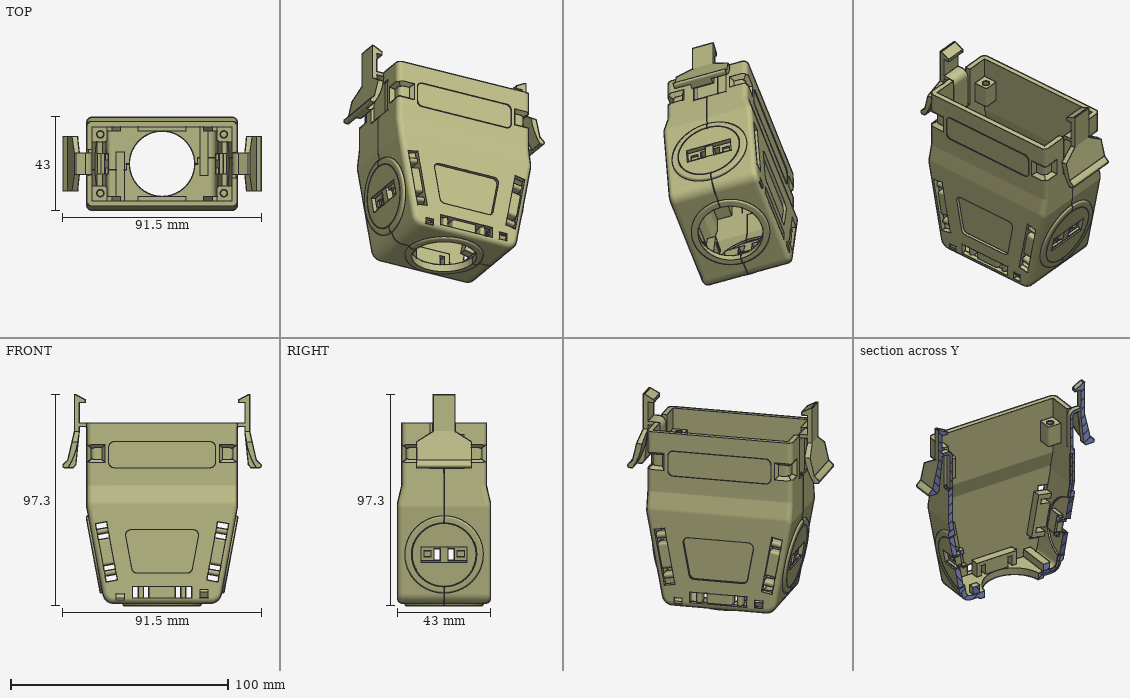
import cadquery as cq
import math


rim_half_width = 34.75
rim_half_depth = 19.55
body_half_depth = 21.5
body_bottom = -83.2
wall = 2.5
corner_radius = 2.5
shoulder_top = -28.9
shoulder_bottom = -37.0
shoulder_top_blend = 2.5
shoulder_bottom_blend = 5.0
taper_top = -38.7
taper_angle = 10.5
foot_radius = 5.2
taper_tan = math.tan(math.radians(taper_angle))
taper_cos = math.cos(math.radians(taper_angle))
floor_top = body_bottom + wall
cavity_half_depth = body_half_depth - wall
overshoot = 5.0
joint_overlap = 0.4
surface_tolerance = 0.01

bore_diameter = 30.0
ring_diameter = 36.2
ring_height = 1.1
ring_edge_radius = 0.9
side_bore_z = -60.6

vent_length = 27.2
vent_height = 5.15
vent_edge_distance = 2.6
side_vent_z = -60.35
slat_front = 20.0
slat_back = 15.0
slat_edge_radius = 1.2
bar_center = 9.75
bar_width = 2.5
panel_width = 12.3
cap_height = 2.0

label_length = 49.2
label_height = 12.05
label_z = -14.65
label_depth = 0.4
field_top = -49.2
field_bottom = -69.2
field_top_half_width = 17.3
field_depth = 1.5
field_radius = 2.5

grip_top = -10.0
grip_height = 8.3
grip_reach = 8.4
grip_depth = 2.0
grip_slope = 1.4
grip_core_radius = 2.0
post_size = 6.9
post_height = 10.4
post_edge_radius = 1.0
screw_x = 28.45
screw_y = 13.55
screw_diameter = 3.0
screw_mouth_diameter = 3.4
screw_mouth_depth = 0.3
screw_depth = 8.0

latch_half_width = 5.05
latch_inner_x = 38.1
latch_outer_x = 40.4
latch_top = 13.0
hook_tip_x = 35.3
hook_tip_top = 10.7
hook_bottom = 9.3
hook_flat = 0.7
strip_thickness = 1.7
bend_radius = 3.4
lever_start = -3.85
lever_full = -8.7
lever_half_width = 12.6
lever_bottom = -20.7
lever_tip_x = 45.75
lever_tip_radius = 1.0
lever_neck_x = 43.5
lever_neck_z = -17.2
lever_tip_slope = 36.0
lever_foot_x = 43.4
wing_mid_x = 40.2
wing_mid_z = -14.2
wing_top_x = 38.7
wing_top_z = -7.4
rib_knee_x = 39.7
rib_knee_z = -19.2
rib_foot_x = 41.0
tab_bottom = -20.0
slit = 0.2
notch_edge = 6.5
relief_edge = 9.27
relief_top = -5.4
relief_bottom = -21.0

joint_gap = 0.2
lip_thickness = 1.25
lip_height = 2.75
lip_inner_x = 16.4
lip_top = -23.0
arm_inner_x = 17.4
arm_outer_x = 21.2
arm_top = -76.8
arm_reach = 5.4
arm_pocket_depth = 2.1
snap_lip = 0.6
arm_pocket_top = -78.8
arm_pocket_knee = -80.6
arm_pocket_bottom = -81.7
catch_top_depth = 1.5
catch_depth = 2.3
catch_ridge = -77.9
catch_bottom = -80.5

plug_diameter = 29.5
disc_thickness = 2.8
window_length = 21.3
window_height = 7.3
web_recess = 0.8
pocket_depth = 2.1
pocket_height = 6.7
web_half_width = 1.85
slot_outer = 4.6
slot_height = 6.05
socket_center = 7.65
socket_length = 3.3
socket_height = 2.9
socket_depth = 1.0
well_wall = 1.3
well_height = 2.4
stop_length = 9.5
stop_height = 1.1
stop_notch = 1.7


def box(x0, x1, y0, y1, z0, z1):
    return cq.Workplane("XY").box(x1 - x0, y1 - y0, z1 - z0, centered=False).translate((x0, y0, z0))


def width_prism(inset, top):
    """Front outline of the shell, moved in by inset and extruded through the whole depth."""
    half_width = rim_half_width - inset
    knee = taper_top + inset * math.tan(math.radians(taper_angle / 2))
    bottom = body_bottom + inset
    foot = half_width - (knee - bottom) * taper_tan
    right_side = [(half_width, top), (half_width, knee), (foot, bottom)]
    left_side = [(-x, z) for x, z in reversed(right_side)]
    prism = cq.Workplane("XZ").polyline(right_side + left_side).close().extrude(body_half_depth, both=True)
    return prism.faces("<Z").edges("|Y").fillet(foot_radius - inset)


def depth_prism(inset, top):
    """Side outline of the shell, moved in by inset and extruded through the whole width."""
    rim_depth = rim_half_depth - inset
    body_depth = body_half_depth - inset
    back = [
        (rim_depth, top),
        (rim_depth, shoulder_top),
        (body_depth, shoulder_bottom),
        (body_depth, body_bottom),
    ]
    front = [(-y, z) for y, z in reversed(back)]
    return cq.Workplane("YZ").polyline(back + front).close().extrude(rim_half_width, both=True)


def edges_at(body, height):
    return body.edges("|X").filter(lambda edge: abs(edge.Center().z - height) < surface_tolerance)


def is_outline_edge(edge):
    center = edge.Center()
    on_rim = center.z > -surface_tolerance
    across_depth = abs(center.y) < surface_tolerance
    across_width = abs(center.x) < surface_tolerance and center.z > body_bottom + surface_tolerance
    return not (on_rim or across_depth or across_width)


def shell_blank():
    sides = depth_prism(0, 0)
    sides = edges_at(sides, shoulder_top).fillet(shoulder_top_blend)
    sides = edges_at(sides, shoulder_bottom).fillet(shoulder_bottom_blend)
    blank = width_prism(0, 0).intersect(sides)
    return blank.edges().filter(is_outline_edge).fillet(corner_radius)


def cavity():
    return width_prism(wall, overshoot).intersect(depth_prism(wall, overshoot))


def side_frame(side):
    """Plane on a tapered side face: local X along Y, local Y up, local Z outward."""
    x = rim_half_width - (taper_top - side_bore_z) * taper_tan
    normal = (side * taper_cos, 0, -math.sin(math.radians(taper_angle)))
    return cq.Plane(origin=(side * x, 0, side_bore_z), xDir=(0, side, 0), normal=normal)


floor_frame = cq.Plane(origin=(0, 0, body_bottom), xDir=(1, 0, 0), normal=(0, 0, -1))
opening_frames = [floor_frame, side_frame(-1), side_frame(1)]


def raised_ring(frame):
    ring = cq.Workplane(frame).workplane(offset=-wall / 2).circle(ring_diameter / 2)
    ring = ring.extrude(ring_height + wall / 2)
    return ring.edges(cq.selectors.DirectionMinMaxSelector(frame.zDir)).fillet(ring_edge_radius)


def bore(frame):
    return cq.Workplane(frame).workplane(offset=-overshoot).circle(bore_diameter / 2).extrude(2 * overshoot)


vent_bottom = body_bottom + vent_edge_distance
vent_top = vent_bottom + vent_height


def vent_opening():
    half = vent_length / 2
    return box(-half, half, cavity_half_depth, body_half_depth + overshoot, vent_bottom, vent_top)


def slat(center, width):
    left = center - width / 2
    bar = box(left, left + width, slat_back, slat_front, floor_top - joint_overlap, vent_top + cap_height)
    return bar.faces(">Y").edges("|Z").fillet(slat_edge_radius)


def vent_grille():
    reach = bar_center + bar_width / 2
    grille = box(-reach, reach, slat_back, cavity_half_depth + joint_overlap, vent_top, vent_top + cap_height)
    grille = grille.union(slat(0, panel_width))
    for side in (-1, 1):
        grille = grille.union(slat(side * bar_center, bar_width))
    return grille


def at_all_vents(shape):
    """Copies of a floor vent shape at the floor and both sides, front and back."""
    side_x = rim_half_width - (taper_top - side_vent_z) * taper_tan
    copies = [shape]
    for side in (-1, 1):
        upright = shape.translate((0, 0, -body_bottom))
        turned = upright.rotate((0, 0, 0), (0, 1, 0), -side * (90 - taper_angle))
        copies.append(turned.translate((side * side_x, 0, side_vent_z)))
    return copies + [copy.mirror("XZ") for copy in copies]


def label_field():
    field = cq.Workplane("XZ").center(0, label_z).rect(label_length, label_height).extrude(label_depth)
    field = field.edges("|Y").fillet(field_radius)
    return field.translate((0, label_depth - rim_half_depth, 0))


def tapered_field():
    bottom_half_width = field_top_half_width - (field_top - field_bottom) * taper_tan
    right_side = [(field_top_half_width, field_top), (bottom_half_width, field_bottom)]
    left_side = [(-x, z) for x, z in reversed(right_side)]
    field = cq.Workplane("XZ").polyline(right_side + left_side).close().extrude(field_depth)
    field = field.edges("|Y").fillet(field_radius)
    return field.translate((0, field_depth - body_half_depth, 0))


def slope_pocket(face_plane, face_distance, corner_distance):
    """Pocket with sloped walls on a face, running out past the shell corner."""
    length = grip_reach + overshoot
    mouth_center = corner_distance - grip_reach + length / 2
    grip_z = grip_top - grip_height / 2
    return (
        cq.Workplane(face_plane)
        .workplane(offset=face_distance)
        .center(mouth_center, grip_z)
        .rect(length, grip_height)
        .workplane(offset=-grip_depth)
        .rect(length - 2 * grip_slope, grip_height - 2 * grip_slope)
        .loft()
    )


def corner_grip():
    """Finger recess around the corner at +X, +Y."""
    back_face = cq.Plane(origin=(0, 0, 0), xDir=(1, 0, 0), normal=(0, -1, 0))
    side_face = cq.Plane(origin=(0, 0, 0), xDir=(0, 1, 0), normal=(1, 0, 0))
    front_pocket = slope_pocket(back_face, rim_half_depth, rim_half_width).mirror("XZ")
    grip = front_pocket.union(slope_pocket(side_face, rim_half_width, rim_half_depth))
    core_corner = (rim_half_width - grip_depth, rim_half_depth - grip_depth, grip_top - grip_height / 2)
    return grip.edges(cq.selectors.NearestToPointSelector(core_corner)).fillet(grip_core_radius)


def at_corners(shape):
    front_and_back = [shape, shape.mirror("XZ")]
    return front_and_back + [copy.mirror("YZ") for copy in front_and_back]


def screw_post():
    x = rim_half_width - wall
    y = rim_half_depth - wall
    base = grip_top - post_height
    post = box(x - post_size, x + joint_overlap, y - post_size, y + joint_overlap, base, grip_top)
    post = post.edges("|Z").edges("<(1,1,0)").fillet(post_edge_radius)
    top = cq.Workplane("XY", origin=(screw_x, screw_y, grip_top))
    hole = top.circle(screw_diameter / 2).extrude(-screw_depth)
    mouth = top.circle(screw_mouth_diameter / 2).extrude(-screw_mouth_depth)
    return post.cut(hole).cut(mouth)


def latch_relief():
    """Material taken from the left wall around the latch tab."""
    outer = -rim_half_width - overshoot
    inner = -rim_half_width + wall + joint_overlap
    tab_face = -rim_half_width + wall - strip_thickness
    recess = box(outer, tab_face, -latch_half_width - slit, notch_edge, relief_bottom, overshoot)
    recess = recess.union(box(outer, tab_face, -relief_edge, notch_edge, relief_bottom, relief_top))
    tight_slit = box(outer, inner, -latch_half_width - slit, -latch_half_width, tab_bottom, overshoot)
    wide_slit = box(outer, inner, latch_half_width, notch_edge, tab_bottom, overshoot)
    bend_room = box(outer, inner, -latch_half_width - slit, notch_edge, -bend_radius, overshoot)
    return recess.union(tight_slit).union(wide_slit).union(bend_room)


def latch():
    """Left latch: hooked strip with a finger lever, held by a bent tab."""
    tab_x = -rim_half_width + wall
    bend_x = tab_x - bend_radius
    inner_bend = bend_radius - strip_thickness
    diagonal = math.sqrt(0.5)
    tab = (
        cq.Workplane("XZ")
        .moveTo(-latch_inner_x - strip_thickness / 2, 0)
        .lineTo(bend_x, 0)
        .threePointArc((bend_x + bend_radius * diagonal, bend_radius * (diagonal - 1)), (tab_x, -bend_radius))
        .lineTo(tab_x - strip_thickness, -bend_radius)
        .threePointArc(
            (bend_x + inner_bend * diagonal, inner_bend * diagonal - bend_radius), (bend_x, -strip_thickness)
        )
        .lineTo(-latch_inner_x - strip_thickness / 2, -strip_thickness)
        .close()
        .extrude(latch_half_width, both=True)
    )
    strip = (
        cq.Workplane("XZ")
        .moveTo(-latch_outer_x, latch_top)
        .lineTo(-latch_outer_x + hook_flat, latch_top)
        .lineTo(-hook_tip_x, hook_tip_top)
        .lineTo(-hook_tip_x, hook_bottom)
        .lineTo(-latch_inner_x, hook_bottom)
        .lineTo(-latch_inner_x, lever_start)
        .lineTo(-rib_knee_x, rib_knee_z)
        .lineTo(-rib_foot_x, lever_bottom)
        .lineTo(-lever_foot_x - joint_overlap, lever_bottom)
        .lineTo(-latch_outer_x, lever_start)
        .close()
        .extrude(latch_half_width, both=True)
    )
    slope = math.radians(lever_tip_slope)
    tip_x = lever_tip_radius - lever_tip_x
    tip_z = lever_bottom + lever_tip_radius
    lever = (
        cq.Workplane("XZ")
        .moveTo(-latch_outer_x, lever_start)
        .lineTo(-lever_neck_x, lever_neck_z)
        .lineTo(tip_x - lever_tip_radius * math.sin(slope), tip_z + lever_tip_radius * math.cos(slope))
        .threePointArc((-lever_tip_x, tip_z), (tip_x, lever_bottom))
        .lineTo(-lever_foot_x, lever_bottom)
        .threePointArc((-wing_mid_x, wing_mid_z), (-wing_top_x, wing_top_z))
        .lineTo(-latch_inner_x, lever_start)
        .close()
        .extrude(lever_half_width, both=True)
    )
    half_outline = [
        (latch_half_width, lever_start),
        (lever_half_width, lever_full),
        (lever_half_width, lever_bottom),
    ]
    mirrored = [(-y, z) for y, z in reversed(half_outline)]
    lever_shape = cq.Workplane("YZ").polyline(half_outline + mirrored).close().extrude(-2 * rim_half_width)
    return strip.union(lever.intersect(lever_shape)).union(tab)


def snap_arm():
    """Arm of the front half on the left of the floor, reaching over the back half."""
    return box(-arm_outer_x, -arm_inner_x, -cavity_half_depth - joint_overlap, arm_reach, floor_top, arm_top)


def snap_pocket(x0, x1, profile):
    """Pocket in the front face; the profile gives depths below the face against Z."""
    points = [(depth - body_half_depth, z) for depth, z in profile]
    return cq.Workplane("YZ").polyline(points).close().extrude(x1 - x0).translate((x0, 0, 0))


def snap_pockets():
    arm_pocket = [
        (-overshoot, arm_pocket_top),
        (arm_pocket_depth, arm_pocket_top),
        (snap_lip, arm_pocket_knee),
        (snap_lip, arm_pocket_bottom),
        (-overshoot, arm_pocket_bottom),
    ]
    catch_pocket = [
        (-overshoot, arm_top),
        (catch_top_depth, arm_top),
        (snap_lip, catch_ridge),
        (catch_depth, catch_bottom),
        (-overshoot, catch_bottom),
    ]
    left = snap_pocket(-arm_outer_x, -arm_inner_x, arm_pocket)
    return left.union(snap_pocket(arm_inner_x, arm_outer_x, catch_pocket))


def lip_zone(y0, y1):
    """Inner part of the walls on the right, between two depths."""
    inner_wall = width_prism(lip_thickness, 0)
    return inner_wall.intersect(box(lip_inner_x, rim_half_width, y0, y1, body_bottom, lip_top))


def front_region():
    """Space of the front half shell: lap joint and latch tab reach past the parting plane."""
    gap = joint_gap / 2
    far = rim_half_width + overshoot
    tab_inner = rim_half_width - wall - overshoot
    region = box(-far, far, -body_half_depth - overshoot, -gap, body_bottom - overshoot, overshoot)
    region = region.union(lip_zone(-lip_height, lip_height - gap))
    region = region.cut(lip_zone(-gap, lip_height + gap).rotate((0, 0, 0), (0, 0, 1), 180))
    region = region.union(box(-far, -tab_inner, -notch_edge, latch_half_width, tab_bottom, overshoot))
    return region.cut(box(tab_inner, far, -latch_half_width, notch_edge, tab_bottom - joint_gap, overshoot))


def whole_shell():
    shell = shell_blank()
    for frame in opening_frames:
        shell = shell.union(raised_ring(frame))
    shell = shell.cut(cavity())
    for opening in at_all_vents(vent_opening()):
        shell = shell.cut(opening)
    for grille in at_all_vents(vent_grille()):
        shell = shell.union(grille)
    for frame in opening_frames:
        shell = shell.cut(bore(frame))
    for post in at_corners(screw_post()):
        shell = shell.union(post)
    for grip in at_corners(corner_grip()):
        shell = shell.cut(grip)
    relief = latch_relief()
    return shell.cut(relief).cut(relief.rotate((0, 0, 0), (0, 0, 1), 180))


def half_shell():
    half = whole_shell().intersect(front_region())
    half = half.cut(label_field()).cut(tapered_field()).cut(snap_pockets())
    return half.union(snap_arm()).union(latch())


def side_plug(side):
    """Round plug with a sunk window: a web in its middle, a slotted pocket on each side of the web."""
    face = cq.Workplane(side_frame(side)).workplane(offset=ring_height)
    disc_back = face.workplane(offset=-disc_thickness)
    well_back = disc_back.workplane(offset=-well_height)
    pocket_floor = face.workplane(offset=-pocket_depth)
    well_width = window_height + 2 * well_wall

    plug = face.circle(plug_diameter / 2).extrude(-disc_thickness)
    plug = plug.union(disc_back.rect(window_length + 2 * well_wall, well_width).extrude(-well_height))
    plug = plug.union(well_back.rect(stop_length, well_width).extrude(-stop_height))
    plug = plug.cut(face.rect(window_length, window_height).extrude(-web_recess))
    for edge in (-1, 1):
        notch = disc_back.center(0, edge * (well_width - well_wall) / 2)
        plug = plug.cut(notch.rect(stop_length, well_wall).extrude(-stop_notch))

    window_end = window_length / 2
    pocket_length = window_end - web_half_width
    slot_length = slot_outer - web_half_width
    pocket_center = (window_end + web_half_width) / 2
    slot_center = (slot_outer + web_half_width) / 2
    pocket_rise = (window_height - pocket_height) / 2
    slot_drop = (window_height - slot_height) / 2
    for end in (-1, 1):
        pocket = face.center(end * pocket_center, pocket_rise)
        plug = plug.cut(pocket.rect(pocket_length, pocket_height).extrude(-pocket_depth))
        slot = pocket_floor.center(end * slot_center, -slot_drop)
        plug = plug.cut(slot.rect(slot_length, slot_height).extrude(-2 * overshoot))
        socket = pocket_floor.center(end * socket_center, 0)
        plug = plug.cut(socket.rect(socket_length, socket_height).extrude(-socket_depth))
    return plug


front_half = half_shell()
half_shells = [front_half.rotate((0, 0, 0), (0, 0, 1), angle) for angle in (0, 180)]
plugs = [side_plug(side) for side in (-1, 1)]

result = cq.Compound.makeCompound([body.val() for body in half_shells + plugs])